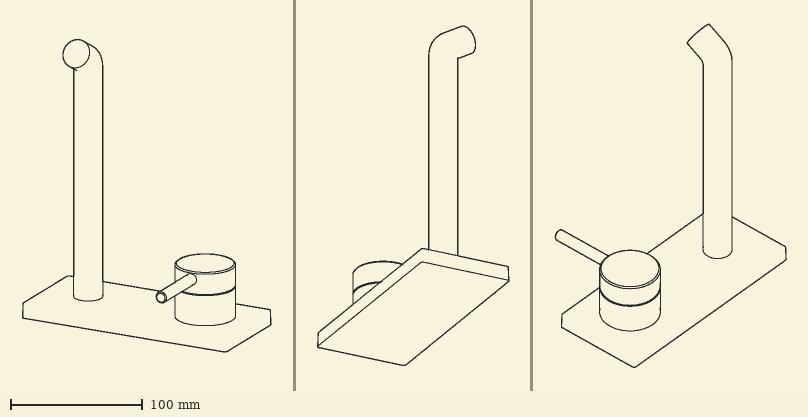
import cadquery as cq
import math

PLATE_LENGTH = 175.0
PLATE_WIDTH = 75.0
PLATE_THICKNESS = 12.0
PLATE_CORNER_RADIUS = 2.2
PLATE_DRAFT_ANGLE = 2.0
PLATE_EDGE_RADIUS = 0.9

FITTING_OFFSET = 50.0

TOTAL_HEIGHT = 221.5
SPOUT_RADIUS = 11.0
OUTLET_RISE_ANGLE = 30.0
OUTLET_LENGTH = 22.5
OUTER_BEND_RADIUS = 8.9
INNER_BEND_RADIUS = 14.0

OUTLET_RISE = math.radians(OUTLET_RISE_ANGLE)
OUTLET_CENTRE = (
    -OUTLET_LENGTH * math.cos(OUTLET_RISE),
    TOTAL_HEIGHT - SPOUT_RADIUS * math.cos(OUTLET_RISE),
)
CORNER_HEIGHT = OUTLET_CENTRE[1] - OUTLET_LENGTH * math.sin(OUTLET_RISE)

BODY_RADIUS = 23.0
BODY_TOP = 54.3
BODY_CHAMFER = 1.0
GROOVE_HEIGHT = 36.3
GROOVE_WIDTH = 0.7
GROOVE_DEPTH = 0.5

LEVER_RADIUS = 4.5
LEVER_HEIGHT = 48.3
TOTAL_WIDTH = 110.0
LEVER_REACH = TOTAL_WIDTH - PLATE_WIDTH / 2
LEVER_CHAMFER = 0.9


def make_plate():
    """Drafted plate with rounded corners and a softened top edge."""
    outline = cq.Sketch().rect(PLATE_LENGTH, PLATE_WIDTH).vertices().fillet(PLATE_CORNER_RADIUS)
    plate = cq.Workplane("XY").placeSketch(outline).extrude(PLATE_THICKNESS, taper=PLATE_DRAFT_ANGLE)
    return plate.faces(">Z").edges().fillet(PLATE_EDGE_RADIUS)


def tangent_points(bend_radius):
    """Start, middle and end of a bend arc on the pipe axis, as (Y, Z) points."""
    turn = math.pi / 2 - OUTLET_RISE
    start_height = CORNER_HEIGHT - bend_radius * math.tan(turn / 2)

    def arc_point(angle):
        return (-bend_radius * (1 - math.cos(angle)), start_height + bend_radius * math.sin(angle))

    return arc_point(0), arc_point(turn / 2), arc_point(turn)


def make_half_pipe(bend_radius, side):
    """Half of the spout, split lengthwise: side is 1 for the back half, -1 for the throat half."""
    start, middle, end = tangent_points(bend_radius)
    path = (
        cq.Workplane("YZ", origin=(-FITTING_OFFSET, 0, 0))
        .moveTo(0, 0)
        .lineTo(*start)
        .threePointArc(middle, end)
        .lineTo(*OUTLET_CENTRE)
    )
    return (
        cq.Workplane("XY", origin=(-FITTING_OFFSET, 0, 0))
        .moveTo(-SPOUT_RADIUS, 0)
        .threePointArc((0, side * SPOUT_RADIUS), (SPOUT_RADIUS, 0))
        .close()
        .sweep(path)
    )


def make_elbow_filler():
    """Thin lens that closes the gap between the two bend arcs across the full pipe width."""
    back_start, back_middle, back_end = tangent_points(OUTER_BEND_RADIUS)
    throat_start, throat_middle, throat_end = tangent_points(INNER_BEND_RADIUS)
    return (
        cq.Workplane("YZ", origin=(-FITTING_OFFSET, 0, 0))
        .moveTo(*throat_start)
        .lineTo(*back_start)
        .threePointArc(back_middle, back_end)
        .lineTo(*throat_end)
        .threePointArc(throat_middle, throat_start)
        .close()
        .extrude(SPOUT_RADIUS, both=True)
    )


def make_spout():
    """Upright pipe turning forward into a short rising outlet, tight at the back and wide in the throat."""
    back = make_half_pipe(OUTER_BEND_RADIUS, 1)
    throat = make_half_pipe(INNER_BEND_RADIUS, -1)
    return back.union(make_elbow_filler()).union(throat)


def make_body():
    """Cylindrical mixer body with a chamfered cap above a thin groove."""
    body = (
        cq.Workplane("XY")
        .center(FITTING_OFFSET, 0)
        .circle(BODY_RADIUS)
        .extrude(BODY_TOP)
        .faces(">Z")
        .chamfer(BODY_CHAMFER)
    )
    groove = (
        cq.Workplane("XY", origin=(FITTING_OFFSET, 0, GROOVE_HEIGHT - GROOVE_WIDTH / 2))
        .circle(BODY_RADIUS + GROOVE_DEPTH)
        .circle(BODY_RADIUS - GROOVE_DEPTH)
        .extrude(GROOVE_WIDTH)
    )
    return body.cut(groove)


def make_lever():
    """Round lever reaching forward from the axis of the mixer body."""
    return (
        cq.Workplane("XZ", origin=(FITTING_OFFSET, 0, LEVER_HEIGHT))
        .circle(LEVER_RADIUS)
        .extrude(LEVER_REACH)
        .faces("<Y")
        .chamfer(LEVER_CHAMFER)
    )


result = make_plate().union(make_spout()).union(make_body()).union(make_lever())